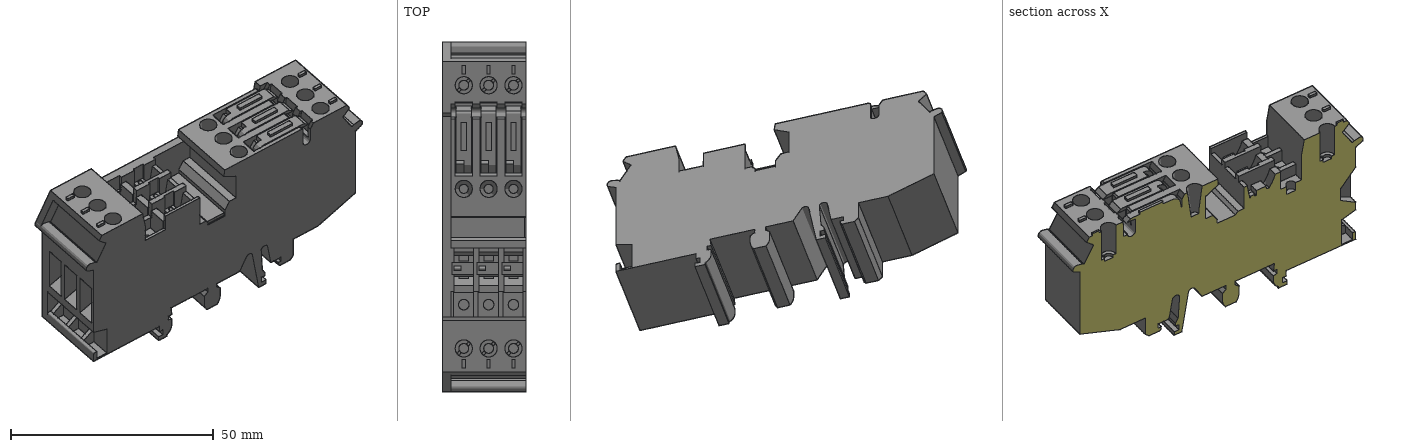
import cadquery as cq
import math


WIDTH = 20.7
HALF_LENGTH = 43.2
TOP_Z = 45.8
HEIGHT = 46.5
DECK_Z = 40.9
FRONT_Y = -41.0
BACK_Y = 41.1
BASE_Z = 4.7
SIDE_WALL = 2.1
CLEAR = 4.3

WAY_PITCH = 6.1
FIRST_WAY_X = 5.3
WAY_XS = [FIRST_WAY_X + WAY_PITCH * i for i in range(3)]
WAY_WIDTH = 4.75
END_TOP_Y = 38.4

NOSE_RADIUS = 1.2
NOSE_CENTRE_Y = HALF_LENGTH - NOSE_RADIUS
NOSE_CENTRE_Z = 37.1
NOSE_TOP_ANGLE = 40
NOSE_LOW_ANGLE = -30
NOSE_ROOT_Z = 35.5

BLOCK_BACK_Y = 24.65
BLOCK_NECK_Y = 3.6
FINGER_HOLE_Y = 6.9

SCREW_Y = 32.5
SCREW_D = 4.2
SCREW_CORE_D = 2.4

LEVER_MARK_Y = (16.35, 23.3)
LEVER_MARK_WIDTH = 1.3
SCREW_MARK_Y = 36.3
SCREW_MARK_LENGTH = 2.1
SCREW_MARK_WIDTH = 0.8

SLOT_WIDTH = 4.2
SLOT_FLOOR_Z = 41.5
SLOT_BACK_Y = 28.4
SLOT_FRONT_Y = 10.0
LEVER_FRONT_Y = 10.8
LEVER_WIDTH = 3.7

CHANNEL_BACK_Y = -7.7
CHANNEL_FRONT_Y = -18.7
RIB_FRONT_Y = -18.4
RIB_OFFSET = 2.6
CHANNEL_FLOOR_Z = 34.6
LOW_RIB_Z = 36.3
DECK_FRONT_Y = -24.7


def extrude_x(sketch, x_min, x_max):
    """Extrude a closed YZ outline from x_min to x_max."""
    return sketch.close().extrude(x_max - x_min).translate((x_min, 0, 0))


def prism(points, x_min, x_max):
    """Prism along X over a polygon of (y, z) points."""
    return extrude_x(cq.Workplane("YZ").polyline(points), x_min, x_max)


def centred_prism(points, x_centre, width):
    return prism(points, x_centre - width / 2, x_centre + width / 2)


def box(x_min, x_max, y_min, y_max, z_min, z_max):
    size = (x_max - x_min, y_max - y_min, z_max - z_min)
    return cq.Workplane("XY").box(*size, centered=False).translate((x_min, y_min, z_min))


def nose_point(angle, end=1):
    """(y, z) on a nose at an angle in degrees above its outermost line; end is 1 for back, -1 for front."""
    y = NOSE_CENTRE_Y + NOSE_RADIUS * math.cos(math.radians(angle))
    z = NOSE_CENTRE_Z + NOSE_RADIUS * math.sin(math.radians(angle))
    return end * y, z


def housing():
    """Side outline with end noses and rail feet, across the full width."""
    outline = (
        cq.Workplane("YZ")
        .moveTo(END_TOP_Y, TOP_Z)
        .lineTo(*nose_point(NOSE_TOP_ANGLE))
        .threePointArc(nose_point(0), nose_point(NOSE_LOW_ANGLE))
        .lineTo(BACK_Y, NOSE_ROOT_Z)
        .lineTo(BACK_Y, 14.6)
        .lineTo(29.2, 10.1)
        .lineTo(21.6, 10.1)
        .lineTo(21.6, BASE_Z)
        .lineTo(20.6, 3.6)
        .lineTo(17.4, 3.6)
        .lineTo(16.9, 4.15)
        .lineTo(16.9, 4.9)
        .lineTo(17.7, 4.9)
        .lineTo(17.7, 6.2)
        .lineTo(14.5, 6.2)
        .lineTo(13.5, 12.45)
        .threePointArc((12.5, 13.1), (11.5, 12.4))
        .lineTo(11.9, 5.3)
        .lineTo(12.7, 3.9)
        .lineTo(12.7, 2.85)
        .lineTo(11.7, 2.85)
        .lineTo(11.7, 1.3)
        .lineTo(13.1, 1.3)
        .lineTo(13.1, 0)
        .lineTo(10.7, 0)
        .lineTo(8.7, 12.3)
        .threePointArc((7.9, 13.1), (6.9, 12.6))
        .lineTo(4.75, 8.8)
        .lineTo(-2.3, 8.8)
        .lineTo(-2.3, 7.7)
        .lineTo(-1.3, 6.75)
        .lineTo(-1.3, 4.2)
        .threePointArc((-1.55, 2.9), (-2.25, 1.8))
        .lineTo(-5.45, 1.8)
        .threePointArc((-6.05, 2.9), (-6.3, 4.2))
        .lineTo(-6.3, 6.75)
        .lineTo(-5.2, 7.7)
        .lineTo(-5.2, 8.8)
        .lineTo(-16.7, 8.8)
        .lineTo(-16.4, 6.5)
        .lineTo(-17.5, 6.5)
        .lineTo(-17.5, 5.3)
        .lineTo(-16.4, 4.9)
        .lineTo(-16.4, 3.2)
        .threePointArc((-16.9, 1.6), (-18.0, 0.5))
        .lineTo(-18.0, 0)
        .lineTo(-20.6, 0)
        .lineTo(-20.6, 1.3)
        .lineTo(-19.3, 1.3)
        .lineTo(-19.3, 2.85)
        .lineTo(-20.3, 2.85)
        .lineTo(-20.3, BASE_Z)
        .lineTo(FRONT_Y, BASE_Z)
        .lineTo(FRONT_Y, NOSE_ROOT_Z)
        .lineTo(*nose_point(NOSE_LOW_ANGLE, -1))
        .threePointArc(nose_point(0, -1), nose_point(NOSE_TOP_ANGLE, -1))
        .lineTo(-END_TOP_Y, TOP_Z)
        .lineTo(-25.6, TOP_Z)
        .lineTo(DECK_FRONT_Y, DECK_Z)
        .lineTo(24.7, DECK_Z)
        .lineTo(25.7, TOP_Z)
    )
    return extrude_x(outline, 0, WIDTH)


def label_groove():
    """Undercut label groove in the front slope; it also rounds the top of the nose."""
    top_z = 44.45
    slope_foot_y, slope_foot_z = nose_point(NOSE_TOP_ANGLE)
    slope = (slope_foot_y - END_TOP_Y) / (TOP_Z - slope_foot_z)
    top_y = END_TOP_Y + slope * (TOP_Z - top_z)
    outline = (
        cq.Workplane("YZ")
        .moveTo(-top_y, top_z)
        .lineTo(-37.1, 42.5)
        .lineTo(-39.95, 37.6)
        .lineTo(-40.5, 38.0)
        .lineTo(*nose_point(90, -1))
        .threePointArc(nose_point(45, -1), nose_point(0, -1))
        .lineTo(-HALF_LENGTH - CLEAR, NOSE_CENTRE_Z)
        .lineTo(-HALF_LENGTH - CLEAR, top_z)
    )
    return extrude_x(outline, SIDE_WALL, WIDTH + CLEAR)


def back_trough():
    """Round-bottomed gap between the back end block and the fuse block."""
    outline = (
        cq.Workplane("YZ")
        .moveTo(BLOCK_BACK_Y, TOP_Z + CLEAR)
        .lineTo(BLOCK_BACK_Y, DECK_Z)
        .threePointArc((25.8, 39.8), (26.9, DECK_Z))
        .lineTo(26.9, 44.3)
        .lineTo(27.85, TOP_Z)
        .lineTo(27.85, TOP_Z + CLEAR)
    )
    return extrude_x(outline, SIDE_WALL, WIDTH + CLEAR)


def fuse_block():
    points = [
        (BLOCK_BACK_Y, DECK_Z - 0.9),
        (BLOCK_BACK_Y, 45.5),
        (24.2, TOP_Z),
        (0.1, TOP_Z),
        (-0.2, 43.8),
        (BLOCK_NECK_Y, 41.7),
        (BLOCK_NECK_Y, DECK_Z - 0.9),
    ]
    return prism(points, SIDE_WALL, WIDTH)


def centre_pit():
    """Stepped pit between the fuse block and the contact channels."""
    pit_z = 31.1
    shelf_z = 32.0
    shelf_edge_y = -5.1
    points = [
        (BLOCK_NECK_Y, DECK_Z),
        (BLOCK_NECK_Y, 34.4),
        (1.55, 34.4),
        (0.2, 32.3),
        (0.2, pit_z),
        (shelf_edge_y, pit_z),
        (-5.9, shelf_z),
        (CHANNEL_BACK_Y, shelf_z),
        (CHANNEL_BACK_Y, DECK_Z),
    ]
    pit = prism(points, SIDE_WALL, WIDTH + CLEAR)
    edge_step = box(20.3, WIDTH + CLEAR, shelf_edge_y, 0.2, pit_z - 0.9, pit_z)
    return pit.union(edge_step)


def contact_channel(x):
    """Channel between two ribs, with its contact bar, tabs and side notch."""
    bar_back_y = -11.3
    bar_front_y = -14.3
    bar_z = CHANNEL_FLOOR_Z + 1.55
    ledge_z = 39.1
    outline = (
        cq.Workplane("YZ")
        .moveTo(CHANNEL_BACK_Y, DECK_Z + CLEAR)
        .lineTo(CHANNEL_BACK_Y, ledge_z)
        .lineTo(-8.7, ledge_z)
        .lineTo(-9.5, CHANNEL_FLOOR_Z)
        .lineTo(bar_back_y, CHANNEL_FLOOR_Z)
        .lineTo(bar_back_y, bar_z)
        .lineTo(bar_front_y, bar_z)
        .lineTo(-14.8, CHANNEL_FLOOR_Z)
        .threePointArc((-16.35, 37.1), (-16.95, 38.7))
        .lineTo(CHANNEL_FRONT_Y, 38.7)
        .lineTo(CHANNEL_FRONT_Y, DECK_Z + CLEAR)
    )
    left = x - WAY_WIDTH / 2
    cut = extrude_x(outline, left, x + WAY_WIDTH / 2)
    notch_depth = 0.5
    notch = box(left - notch_depth, left, bar_front_y, bar_back_y, bar_z, DECK_Z + CLEAR)

    tab_width = 2.3
    tab_height = 0.5
    tab_ends = [(-10.9, -9.5), (-15.65, -14.7)]
    for y_min, y_max in tab_ends:
        tab = box(x - tab_width / 2, x + tab_width / 2, y_min, y_max,
                  CHANNEL_FLOOR_Z, CHANNEL_FLOOR_Z + tab_height)
        cut = cut.cut(tab)
    pin_y = -12.7
    pin_radius = 0.6
    pin_length = 1.6
    pin_z = bar_z - 0.3
    pin = cq.Workplane("YZ").center(pin_y, pin_z).circle(pin_radius).extrude(pin_length)
    return cut.cut(pin.translate((left, 0, 0))).union(notch)


def front_pocket():
    """Pocket in front of the channels: a lowered step with a screw well per way."""
    well_z = 32.9
    hole_depth = 2.6
    hole_d = 2.6
    hole_y = -21.7
    step = box(SIDE_WALL, WIDTH + CLEAR, DECK_FRONT_Y, RIB_FRONT_Y, LOW_RIB_Z, DECK_Z)
    for x in WAY_XS:
        wall = box(x - WAY_WIDTH / 2, x + WAY_WIDTH / 2, CHANNEL_FRONT_Y, RIB_FRONT_Y,
                   LOW_RIB_Z, DECK_Z)
        well = box(x - RIB_OFFSET, x + WAY_WIDTH / 2, DECK_FRONT_Y, CHANNEL_FRONT_Y, well_z, DECK_Z)
        hole = cq.Workplane("XY").circle(hole_d / 2).extrude(-hole_depth)
        hole = hole.translate((x, hole_y, well_z))
        step = step.cut(wall).union(well).union(hole)
    return step


def screw_well(x, y):
    """Well over a sunken screw head with a diagonal slot and a round core."""
    head_z = 36.3
    slot_depth = 0.4
    core_depth = 0.9
    well = cq.Workplane("XY").circle(SCREW_D / 2).extrude(TOP_Z - head_z)
    slot_width = 0.7
    slot_length = SCREW_D - 0.2
    slot = cq.Workplane("XY").rect(slot_length, slot_width).extrude(-slot_depth)
    slot = slot.rotate((0, 0, 0), (0, 0, 1), 45)
    core = cq.Workplane("XY").circle(SCREW_CORE_D / 2).extrude(-core_depth)
    return well.union(slot).union(core).translate((x, y, head_z))


def finger_hole(x):
    """Tapered test hole in the fuse block, ending in a short straight bore."""
    bore_d = 2.25
    taper_depth = 7.8
    bore_depth = 0.9
    taper = (
        cq.Workplane("XY")
        .circle(SCREW_D / 2)
        .workplane(offset=-taper_depth)
        .circle(bore_d / 2)
        .loft()
    )
    bore = cq.Workplane("XY").circle(bore_d / 2).extrude(-taper_depth - bore_depth)
    return taper.union(bore).translate((x, FINGER_HOLE_Y, TOP_Z))


def lever_slot(x):
    """Slot for a lever, running through the fuse block into the back end block."""
    points = [
        (SLOT_BACK_Y, TOP_Z + CLEAR),
        (SLOT_BACK_Y, TOP_Z),
        (28.1, 45.0),
        (28.1, DECK_Z),
        (BLOCK_BACK_Y, DECK_Z),
        (BLOCK_BACK_Y, SLOT_FLOOR_Z),
        (LEVER_FRONT_Y, SLOT_FLOOR_Z),
        (LEVER_FRONT_Y, 44.45),
        (SLOT_FRONT_Y, TOP_Z),
        (SLOT_FRONT_Y, TOP_Z + CLEAR),
    ]
    return centred_prism(points, x, SLOT_WIDTH)


def lever(x):
    """Fuse lever: flush top, sloped back tip, rounded thumb end on one half."""
    left = x - LEVER_WIDTH / 2
    right = x + LEVER_WIDTH / 2
    foot_z = SLOT_FLOOR_Z
    half_end_y = 13.9
    shank = [
        (half_end_y, foot_z),
        (half_end_y, TOP_Z),
        (25.5, TOP_Z),
        (26.1, 45.7),
        (27.3, 44.8),
        (BLOCK_BACK_Y, 44.8),
        (BLOCK_BACK_Y, foot_z),
    ]
    thumb = (
        cq.Workplane("YZ")
        .moveTo(half_end_y, foot_z)
        .lineTo(half_end_y, TOP_Z)
        .lineTo(13.5, TOP_Z)
        .threePointArc((12.1, 45.3), (11.15, 43.8))
        .lineTo(LEVER_FRONT_Y, foot_z)
    )
    wedge = [(half_end_y, foot_z), (half_end_y, 44.4), (13.1, 44.8), (LEVER_FRONT_Y, foot_z)]
    return (
        prism(shank, left, right)
        .union(extrude_x(thumb, x, right))
        .union(prism(wedge, left, x))
    )


def raised_mark(x, y_min, y_max, width):
    return box(x - width / 2, x + width / 2, y_min, y_max, TOP_Z, HEIGHT)


def wire_funnel(x):
    """Rectangular wire entry narrowing inward from the front wall."""
    depth = 4.4
    mouth_z = (17.1, 28.8)
    throat_z = (20.0, 23.9)
    throat_width = 2.9
    mouth_mid = sum(mouth_z) / 2
    throat_mid = sum(throat_z) / 2
    return (
        cq.Workplane("XZ", origin=(x, FRONT_Y, 0))
        .center(0, mouth_mid)
        .rect(WAY_WIDTH, mouth_z[1] - mouth_z[0])
        .workplane(offset=-depth)
        .center(0, throat_mid - mouth_mid)
        .rect(throat_width, throat_z[1] - throat_z[0])
        .loft()
    )


def lower_recess():
    """Recess across the front wall, with a lip below and three gussets."""
    back_y = -36.8
    floor_z = 5.2
    lip_z = 7.4
    lip_round = 0.5
    gusset_width = 1.1
    lip_y = FRONT_Y + 1.0
    outline = (
        cq.Workplane("YZ")
        .moveTo(FRONT_Y, 14.5)
        .lineTo(back_y, 13.2)
        .lineTo(back_y, floor_z)
        .lineTo(lip_y, floor_z)
        .lineTo(lip_y, lip_z)
        .lineTo(FRONT_Y + lip_round, lip_z)
        .radiusArc((FRONT_Y, lip_z - lip_round), -lip_round)
    )
    recess = extrude_x(outline, SIDE_WALL, WIDTH + CLEAR)
    gusset = [(back_y, floor_z), (back_y, 9.5), (lip_y, lip_z), (lip_y, floor_z)]
    for way_x in WAY_XS:
        recess = recess.cut(centred_prism(gusset, way_x - RIB_OFFSET, gusset_width))
    return recess


result = housing().cut(back_trough()).union(fuse_block())

for groove in (label_groove(), label_groove().mirror("XZ")):
    result = result.cut(groove)

result = result.cut(centre_pit()).cut(front_pocket()).cut(lower_recess())

for way_x in WAY_XS:
    result = result.cut(contact_channel(way_x)).cut(wire_funnel(way_x))
    result = result.cut(lever_slot(way_x)).union(lever(way_x)).cut(finger_hole(way_x))
    result = result.union(raised_mark(way_x, *LEVER_MARK_Y, LEVER_MARK_WIDTH))
    for side in (-1, 1):
        result = result.cut(screw_well(way_x, side * SCREW_Y))
        mark_start_y = side * SCREW_MARK_Y - SCREW_MARK_LENGTH / 2
        mark_end_y = mark_start_y + SCREW_MARK_LENGTH
        result = result.union(raised_mark(way_x, mark_start_y, mark_end_y, SCREW_MARK_WIDTH))